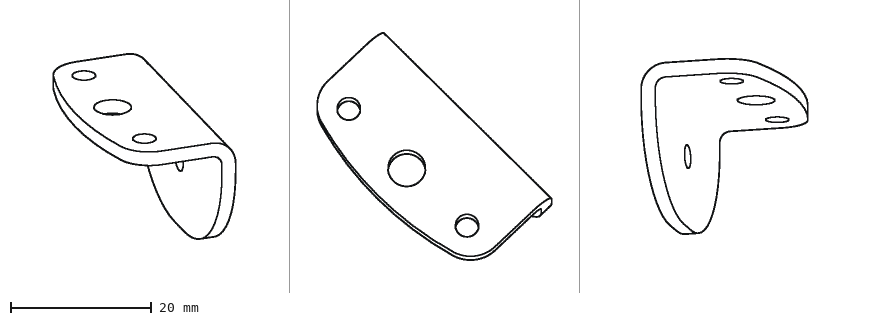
import cadquery as cq
import math

width = 34.0
depth = 17.92
height = 20.0
half_width = width / 2

thickness = 2.1
inner_bend_radius = 1.5
outer_bend_radius = inner_bend_radius + thickness

wall_corner_radius = 15.0
shelf_corner_radius = 5.0
front_edge_radius = 49.98

small_hole_diameter = 3.3
large_hole_diameter = 5.3
side_hole_offset = 12.0
side_hole_setback = 11.97
center_hole_setback = 12.2
wall_hole_drop = 9.65


def bent_sheet():
    """L-shaped sheet extruded across the full width."""
    profile = (
        cq.Workplane("YZ")
        .moveTo(0, -height)
        .lineTo(0, 0)
        .lineTo(-depth, 0)
        .lineTo(-depth, -thickness)
        .lineTo(-thickness, -thickness)
        .lineTo(-thickness, -height)
        .close()
    )
    sheet = profile.extrude(half_width, both=True)
    inner_edge = cq.selectors.NearestToPointSelector((0, -thickness, -thickness))
    sheet = sheet.edges("|X").edges(inner_edge).fillet(inner_bend_radius)
    return sheet.edges("|X and >Y and >Z").fillet(outer_bend_radius)


def wall_outline():
    """Rear wall silhouette with large lower corners, as a full-depth block."""
    block = cq.Workplane("XY").box(width, depth, height).translate((0, -depth / 2, -height / 2))
    return block.edges("|Y and <Z").fillet(wall_corner_radius)


def shelf_outline():
    """Shelf silhouette: corner arcs tangent to the sides and to the bowed front edge."""
    front_center_y = front_edge_radius - depth
    corner_x = half_width - shelf_corner_radius
    center_distance = front_edge_radius - shelf_corner_radius
    corner_y = front_center_y - math.sqrt(center_distance**2 - corner_x**2)

    tangent_x = corner_x * front_edge_radius / center_distance
    tangent_y = front_center_y + (corner_y - front_center_y) * front_edge_radius / center_distance
    return (
        cq.Workplane("XY")
        .moveTo(-half_width, 0)
        .lineTo(-half_width, corner_y)
        .radiusArc((-tangent_x, tangent_y), -shelf_corner_radius)
        .threePointArc((0, -depth), (tangent_x, tangent_y))
        .radiusArc((half_width, corner_y), -shelf_corner_radius)
        .lineTo(half_width, 0)
        .close()
        .extrude(-height)
    )


def shelf_holes():
    """Large center hole flanked by two small holes, cutting through the shelf."""
    side_points = [(side * side_hole_offset, -side_hole_setback) for side in (-1, 1)]
    small = cq.Workplane("XY").pushPoints(side_points).circle(small_hole_diameter / 2).extrude(-thickness)
    large = (
        cq.Workplane("XY")
        .center(0, -center_hole_setback)
        .circle(large_hole_diameter / 2)
        .extrude(-thickness)
    )
    return small.union(large)


def wall_hole():
    """Hole through the rear wall."""
    return (
        cq.Workplane("XZ")
        .center(0, -wall_hole_drop)
        .circle(small_hole_diameter / 2)
        .extrude(thickness)
    )


bracket = bent_sheet().intersect(wall_outline()).intersect(shelf_outline())
result = bracket.cut(shelf_holes()).cut(wall_hole())